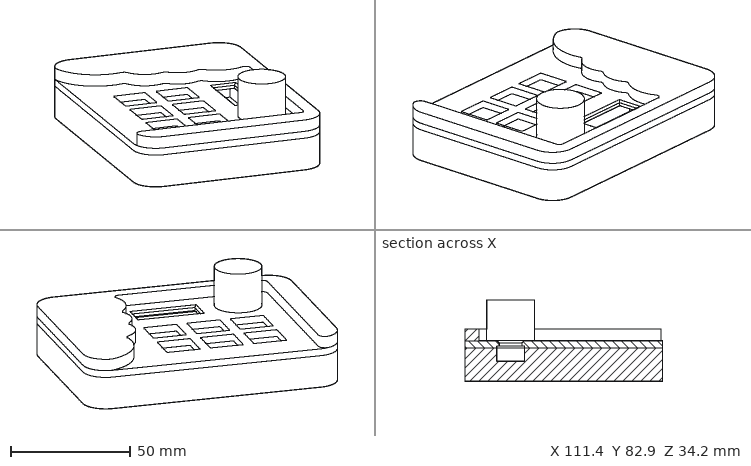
import cadquery as cq

LENGTH = 111.4
WIDTH = 82.9
CORNER_RADIUS = 10.0

BASE_HEIGHT = 14.0
PLATE_THICKNESS = 3.0
COVER_THICKNESS = 5.0
OVERALL_HEIGHT = 34.2
PLATE_BOTTOM = BASE_HEIGHT
PLATE_TOP = PLATE_BOTTOM + PLATE_THICKNESS

COVER_BACK_BORDER = 6.0
OPENING_RIGHT = LENGTH / 2 - CORNER_RADIUS
OPENING_BACK = WIDTH / 2 - COVER_BACK_BORDER
OPENING_CORNER_RADIUS = 2.0
COVER_TIP_RADIUS = 3.0
FRONT_OVERRUN = 5.6
TIP_SEARCH_MARGIN = 0.6

SCALLOP_START_X = -22.7
SCALLOPS = [
    ((-24.4, 14.9), 14.8),
    ((-26.2, -0.2), 11.0),
    ((-32.0, -15.9), 11.3),
    ((-47.9, -41.8), 20.4),
]

WINDOW_LENGTH = 29.1
WINDOW_WIDTH = 11.3
WINDOW_X = -1.9
BEVEL_SIZE = 0.9
INNER_WINDOW_LENGTH = WINDOW_LENGTH - 2 * BEVEL_SIZE
INNER_WINDOW_WIDTH = WINDOW_WIDTH - 2 * BEVEL_SIZE

RECESS_MARGIN_X = 7.8
RECESS_MARGIN_Y = 1.0
RECESS_DEPTH_IN_PLATE = 0.8
RECESS_DEPTH_IN_BASE = 5.6

KNOB_DIAMETER = 20.0
KNOB_X = 29.3
CONTROL_ROW_Y = 22.3

KEY_LENGTH = 14.5
KEY_WIDTH = 14.0
KEY_CORNER_RADIUS = 0.5
KEY_PITCH = 19.0
KEY_COLUMNS = 3
KEY_ROWS = 2
KEYS_X = 9.1
KEYS_Y = -10.0


def rounded_slab(bottom, thickness):
    """Slab with the rounded outline that all the layers share."""
    slab = cq.Workplane("XY").workplane(offset=bottom).rect(LENGTH, WIDTH).extrude(thickness)
    return slab.edges("|Z").fillet(CORNER_RADIUS)


def display_window():
    """Through opening of the plate, widened towards the top by the bevel."""
    opening = (
        cq.Workplane("XY", origin=(WINDOW_X, CONTROL_ROW_Y, PLATE_BOTTOM))
        .rect(INNER_WINDOW_LENGTH, INNER_WINDOW_WIDTH)
        .extrude(PLATE_THICKNESS)
    )
    bevel = (
        cq.Workplane("XY", origin=(WINDOW_X, CONTROL_ROW_Y, PLATE_TOP - BEVEL_SIZE))
        .rect(INNER_WINDOW_LENGTH, INNER_WINDOW_WIDTH)
        .workplane(offset=BEVEL_SIZE)
        .rect(WINDOW_LENGTH, WINDOW_WIDTH)
        .loft(ruled=True)
    )
    return opening.union(bevel)


def display_recess():
    """Space for the display, reaching from the base into the underside of the plate."""
    return (
        cq.Workplane("XY", origin=(WINDOW_X, CONTROL_ROW_Y, BASE_HEIGHT - RECESS_DEPTH_IN_BASE))
        .rect(INNER_WINDOW_LENGTH + 2 * RECESS_MARGIN_X, INNER_WINDOW_WIDTH + 2 * RECESS_MARGIN_Y)
        .extrude(RECESS_DEPTH_IN_BASE + RECESS_DEPTH_IN_PLATE)
    )


def key_cutouts():
    """Grid of key openings through the plate."""
    return (
        cq.Workplane("XY", origin=(KEYS_X, KEYS_Y, PLATE_BOTTOM))
        .rarray(KEY_PITCH, KEY_PITCH, KEY_COLUMNS, KEY_ROWS)
        .rect(KEY_LENGTH, KEY_WIDTH)
        .extrude(PLATE_THICKNESS)
        .edges("|Z")
        .fillet(KEY_CORNER_RADIUS)
    )


def cover_opening():
    """Cut-away volume of the cover, with its inner corners and scallop cusps rounded."""
    front = -WIDTH / 2 - FRONT_OVERRUN
    outline = cq.Workplane("XY").workplane(offset=PLATE_TOP).moveTo(SCALLOP_START_X, OPENING_BACK)
    for end, radius in SCALLOPS:
        outline = outline.radiusArc(end, radius)
    scallops_end_x = SCALLOPS[-1][0][0]
    opening = (
        outline.lineTo(scallops_end_x, front)
        .lineTo(OPENING_RIGHT, front)
        .lineTo(OPENING_RIGHT, OPENING_BACK)
        .close()
        .extrude(COVER_THICKNESS)
    )
    inside_cover = cq.selectors.BoxSelector(
        (-LENGTH / 2, -WIDTH / 4, PLATE_TOP),
        (LENGTH / 2, WIDTH / 2, PLATE_TOP + COVER_THICKNESS),
    )
    return opening.edges("|Z").edges(inside_cover).fillet(OPENING_CORNER_RADIUS)


def make_base():
    """Solid base with the lower part of the display recess."""
    return rounded_slab(0, BASE_HEIGHT).cut(display_recess())


def make_plate():
    """Plate with the display window, the upper part of its recess and the key openings."""
    plate = rounded_slab(PLATE_BOTTOM, PLATE_THICKNESS)
    plate = plate.cut(display_window()).cut(display_recess())
    return plate.cut(key_cutouts())


def make_cover():
    """Cover layer that leaves the controls open and ends in two rounded tips at the front."""
    cover = rounded_slab(PLATE_TOP, COVER_THICKNESS).cut(cover_opening())
    front_strip = cq.selectors.BoxSelector(
        (-LENGTH / 2, -WIDTH / 2 - TIP_SEARCH_MARGIN, PLATE_TOP),
        (LENGTH / 2, -WIDTH / 2 + TIP_SEARCH_MARGIN, PLATE_TOP + COVER_THICKNESS),
    )
    return cover.edges("|Z").edges(front_strip).fillet(COVER_TIP_RADIUS)


def make_knob():
    """Plain round knob."""
    return (
        cq.Workplane("XY", origin=(KNOB_X, CONTROL_ROW_Y, PLATE_TOP))
        .circle(KNOB_DIAMETER / 2)
        .extrude(OVERALL_HEIGHT - PLATE_TOP)
    )


base = make_base()
plate = make_plate()
cover = make_cover()
knob = make_knob()

result = cq.Compound.makeCompound([base.val(), plate.val(), cover.val(), knob.val()])